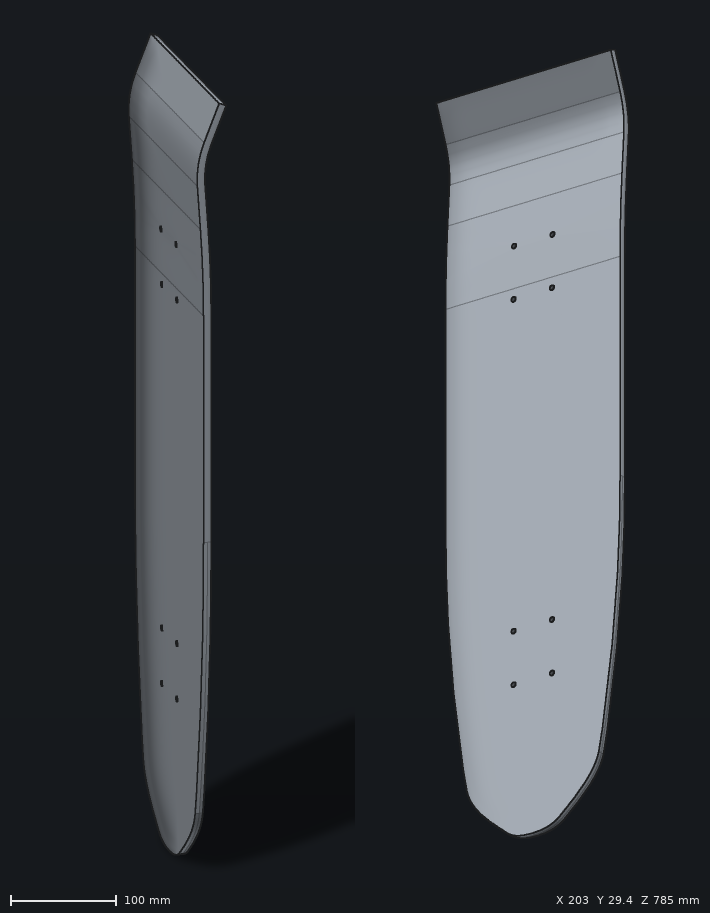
import cadquery as cq
import math

length = 785.0
width = 203.0
thickness = 8.0
half_width = width / 2
through_reach = half_width

dip_start = 573.0
dip_radius = 1256.5
dip_angle = 4.0
ramp_length = 44.0
kick_radius = 94.0
tail_angle = 21.7

taper_start = 345.5
side_points = [(95.0, 196.0), (81.0, 85.5)]
shoulder = (77.0, 64.0)
shoulder_direction = (-1, -4)
nose_points = [(66.0, 42.5), (38.0, 14.0)]

hole_diameter = 5.0
hole_spacing_x = 45.0
hole_spacing_z = 56.0
truck_heights = (188.5, 590.0)


def bend_point(start, radius, start_lean, end_lean):
    """Point (Y, Z) on a bend, leans being angles from +Z with +Y positive."""
    side = math.copysign(radius, end_lean - start_lean)
    return (
        start[0] + side * (math.cos(start_lean) - math.cos(end_lean)),
        start[1] + side * (math.sin(end_lean) - math.sin(start_lean)),
    )


def make_bent_board():
    """Rectangular board swept along its bent middle line."""
    dip_lean = -math.radians(dip_angle)
    tail_lean = math.radians(tail_angle)
    dip_from = (0, dip_start)
    dip_middle = bend_point(dip_from, dip_radius, 0, dip_lean / 2)
    dip_end = bend_point(dip_from, dip_radius, 0, dip_lean)
    kick_start = (
        dip_end[0] + ramp_length * math.sin(dip_lean),
        dip_end[1] + ramp_length * math.cos(dip_lean),
    )
    kick_middle = bend_point(kick_start, kick_radius, dip_lean, (dip_lean + tail_lean) / 2)
    kick_end = bend_point(kick_start, kick_radius, dip_lean, tail_lean)
    tip_height = length - thickness / 2 * math.sin(tail_lean)
    tip = (kick_end[0] + (tip_height - kick_end[1]) * math.tan(tail_lean), tip_height)

    middle_line = (
        cq.Workplane("YZ")
        .moveTo(0, 0)
        .lineTo(*dip_from)
        .threePointArc(dip_middle, dip_end)
        .lineTo(*kick_start)
        .threePointArc(kick_middle, kick_end)
        .lineTo(*tip)
    )
    return cq.Workplane("XY").rect(width, thickness).sweep(middle_line)


def make_outline():
    """Block through Y with the tapered sides and rounded nose."""
    half_block = (
        cq.Workplane("XZ")
        .moveTo(0, length)
        .lineTo(half_width, length)
        .lineTo(half_width, taper_start)
        .spline(side_points + [shoulder], tangents=[(0, -1), shoulder_direction], includeCurrent=True)
        .spline(nose_points + [(0, 0)], tangents=[shoulder_direction, (-1, 0)], includeCurrent=True)
        .close()
        .extrude(through_reach, both=True)
    )
    return half_block.union(half_block.mirror("YZ"))


def make_bolt_holes():
    """Both trucks' four-bolt patterns, as cylinders along Y."""
    centres = [
        (side * hole_spacing_x / 2, height + end * hole_spacing_z / 2)
        for height in truck_heights
        for side in (-1, 1)
        for end in (-1, 1)
    ]
    return (
        cq.Workplane("XZ")
        .pushPoints(centres)
        .circle(hole_diameter / 2)
        .extrude(through_reach, both=True)
    )


result = make_bent_board().intersect(make_outline()).cut(make_bolt_holes())